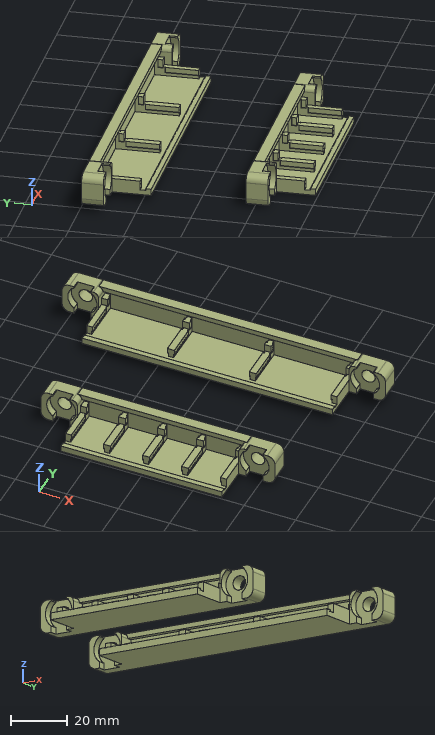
import cadquery as cq

RAIL_DEPTH = 22.25
RAIL_HEIGHT = 12.2
FLOOR_THICKNESS = 1.9
WALL_LIP_FRONT = 4.1
WALL_LIP_HEIGHT = 1.9
WALL_LIP_OVERHANG = 2.0
WALL_FACE = WALL_LIP_FRONT - WALL_LIP_OVERHANG
FRONT_LIP_HEIGHT = 2.5
FRONT_LIP_WIDTH = 2.0

EAR_WIDTH = 14.2
EAR_DEPTH = 8.0
EAR_OUTER_RADIUS = 3.0
EAR_INNER_RADIUS = 2.0
WALL_OVERLAP = 1.6
HOLE_DIAMETER = 5.2
HOLE_FROM_END = 7.95
HOLE_HEIGHT = 7.0
RECESS_DIAMETER = 11.3
RECESS_DEPTH = 3.0
SLOT_WIDTH = 6.5

PAD_WIDTH = 2.7
WEB_WIDTH = 2.0
PAD_CLEARANCE = 1.35
PAD_GAP = 0.8
BAR_HEIGHT = 5.3
BAR_FRONT = 18.25
POST_HEIGHT = 8.15
POST_FRONT = 5.25
POST_PAD_BOTTOM = 5.0
END_RIB_INSET = WEB_WIDTH / 2

LONG_LENGTH = 125.9
LONG_RIB_COUNT = 4
SHORT_LENGTH = 91.1
SHORT_RIB_COUNT = 5
SHORT_OFFSET_X = -0.4
SHORT_OFFSET_Y = -56.0
SHORT_OFFSET_Z = -2.0


def block(x_min, x_max, front, back, z_min, z_max):
    """Box between two X positions, two depths from the back face and two heights."""
    return cq.Workplane("XY").box(
        x_max - x_min, front - back, z_max - z_min, centered=False
    ).translate((x_min, -front, z_min))


def tray(half_width):
    """Floor with its raised front lip and the back wall with its overhanging top lip."""
    wall_half = half_width + WALL_OVERLAP
    floor = block(-half_width, half_width, RAIL_DEPTH, 0, 0, FLOOR_THICKNESS)
    front_lip = block(
        -half_width, half_width, RAIL_DEPTH, RAIL_DEPTH - FRONT_LIP_WIDTH, 0, FRONT_LIP_HEIGHT
    )
    wall = block(-wall_half, wall_half, WALL_FACE, 0, 0, RAIL_HEIGHT)
    wall_lip = block(
        -wall_half, wall_half, WALL_LIP_FRONT, 0, RAIL_HEIGHT - WALL_LIP_HEIGHT, RAIL_HEIGHT
    )
    return floor.union(front_lip).union(wall).union(wall_lip)


def left_ear(half_length):
    """Solid rounded block of the ear at the -X end."""
    ear = block(-half_length, -half_length + EAR_WIDTH, EAR_DEPTH, 0, 0, RAIL_HEIGHT)
    ear = ear.edges("|Y and <X").fillet(EAR_OUTER_RADIUS)
    ear = ear.edges("|Y and >X and >Z").fillet(EAR_INNER_RADIUS)
    return ear


def left_ear_cut(half_length):
    """Screw hole, head recess and full-height slot of the -X ear."""
    hole_x = -half_length + HOLE_FROM_END
    recess_floor = EAR_DEPTH - RECESS_DEPTH
    axis = cq.Workplane("XZ").center(hole_x, HOLE_HEIGHT)
    hole = axis.circle(HOLE_DIAMETER / 2).extrude(EAR_DEPTH)
    recess = axis.circle(RECESS_DIAMETER / 2).extrude(RECESS_DEPTH)
    recess = recess.translate((0, -recess_floor, 0))
    slot_left = hole_x - SLOT_WIDTH / 2
    slot = block(slot_left, slot_left + SLOT_WIDTH, EAR_DEPTH, recess_floor, 0, RAIL_HEIGHT)
    return hole.union(recess).union(slot)


def rib(center_x):
    """L-shaped rib: a low bar running forward from the wall and a taller post at the wall."""
    web_left = center_x - WEB_WIDTH / 2
    web_right = center_x + WEB_WIDTH / 2
    pad_left = center_x - PAD_WIDTH / 2
    pad_right = center_x + PAD_WIDTH / 2
    bar_pad_back = POST_FRONT + PAD_GAP
    bar_pad_bottom = FLOOR_THICKNESS + PAD_CLEARANCE
    post_pad_back = WALL_FACE + PAD_CLEARANCE

    bar_web = block(web_left, web_right, BAR_FRONT, 0, 0, BAR_HEIGHT)
    post_web = block(web_left, web_right, POST_FRONT, 0, 0, POST_HEIGHT)
    bar_pad = block(pad_left, pad_right, BAR_FRONT, bar_pad_back, bar_pad_bottom, BAR_HEIGHT)
    post_pad = block(
        pad_left, pad_right, POST_FRONT, post_pad_back, POST_PAD_BOTTOM, POST_HEIGHT
    )
    return bar_web.union(post_web).union(bar_pad).union(post_pad)


def rail(length, rib_count):
    """One rail, centred on X."""
    half_length = length / 2
    half_width = half_length - EAR_WIDTH
    body = tray(half_width)

    first_rib = -half_width + END_RIB_INSET
    pitch = -2 * first_rib / (rib_count - 1)
    tray_space = block(-half_width, half_width, RAIL_DEPTH, 0, 0, RAIL_HEIGHT)
    for index in range(rib_count):
        body = body.union(rib(first_rib + index * pitch).intersect(tray_space))

    ear = left_ear(half_length)
    ear_cut = left_ear_cut(half_length)
    body = body.union(ear).union(ear.mirror("YZ"))
    return body.cut(ear_cut).cut(ear_cut.mirror("YZ"))


long_rail = rail(LONG_LENGTH, LONG_RIB_COUNT)
short_rail = rail(SHORT_LENGTH, SHORT_RIB_COUNT).translate(
    (SHORT_OFFSET_X, SHORT_OFFSET_Y, SHORT_OFFSET_Z)
)

result = cq.Compound.makeCompound([long_rail.val(), short_rail.val()])